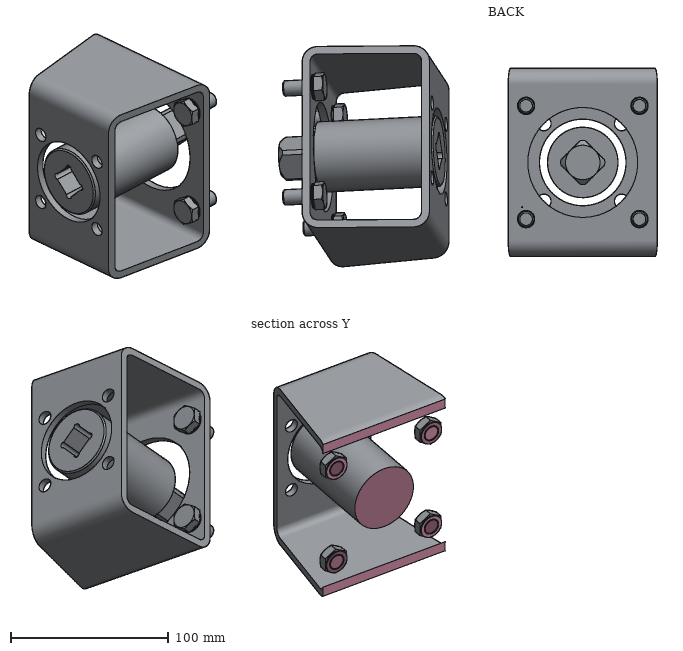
import cadquery as cq
import math


bracket_height = 120.0
bracket_depth = 80.0
narrow_width = 70.0
wide_width = 95.0
wall = 5.0
bend_radius = 10.1
narrow_bore_diameter = 55.0
wide_bore_diameter = 70.0
small_hole_diameter = 9.0
small_hole_circle = 70.0
bolt_hole_diameter = 11.0
bolt_circle = 102.0
inner_wall_y = bracket_depth - wall

spindle_diameter = 45.0
spindle_chamfer = 1.0
total_depth = 102.0
drive_size = 22.0
drive_corner_diameter = 28.1
drive_length = 25.0
shoulder_y = total_depth - drive_length
socket_size = 17.0
socket_depth = 24.0
relief_radius = 2.0
relief_offset = 10.1

bolt_diameter = 10.0
shank_length = 19.5
tip_chamfer = 1.0
head_size = 16.0
head_height = 6.2
head_face_diameter = 15.7
head_chamfer_angle = 30
hexagon_half_angle = 30
collar_diameter = 14.6
collar_height = 1.0
washer_diameter = 16.0
washer_bore_diameter = 10.5
washer_thickness = 0.5
collar_y = inner_wall_y - washer_thickness
head_y = collar_y - collar_height


def cylinder_y(diameter, start_y, end_y):
    """Cylinder on the Y axis between two Y positions."""
    disc = cq.Workplane("XZ", origin=(0, start_y, 0)).circle(diameter / 2)
    return disc.extrude(start_y - end_y)


def square_y(size, start_y, end_y):
    """Square bar on the Y axis with its corners pointing along X and Z."""
    square = cq.Workplane("XZ", origin=(0, start_y, 0)).rect(size, size)
    bar = square.extrude(start_y - end_y)
    return bar.rotate((0, 0, 0), (0, 1, 0), 45)


def diagonal_places(circle_diameter):
    """X and Z of four places at 45 degrees on a circle around the Y axis."""
    reach = circle_diameter / 2 * math.cos(math.radians(45))
    return [(sx * reach, sz * reach) for sx in (-1, 1) for sz in (-1, 1)]


def make_bracket():
    """Tube with bent corners, cut to the taper and drilled on both flange walls."""

    def rounded_bar(inset):
        bar = cq.Workplane("XY").box(
            wide_width, bracket_depth - 2 * inset, bracket_height - 2 * inset
        )
        bar = bar.edges("|X").fillet(bend_radius - inset)
        return bar.translate((0, bracket_depth / 2, 0))

    tube = rounded_bar(0).cut(rounded_bar(wall))
    taper = (
        cq.Workplane("XY", origin=(0, 0, -bracket_height / 2))
        .moveTo(-narrow_width / 2, 0)
        .lineTo(narrow_width / 2, 0)
        .lineTo(wide_width / 2, bracket_depth)
        .lineTo(-wide_width / 2, bracket_depth)
        .close()
        .extrude(bracket_height)
    )
    bracket = tube.intersect(taper)

    bracket = bracket.cut(cylinder_y(narrow_bore_diameter, 0, wall))
    bracket = bracket.cut(cylinder_y(wide_bore_diameter, inner_wall_y, bracket_depth))
    small_hole = cylinder_y(small_hole_diameter, 0, wall)
    for x, z in diagonal_places(small_hole_circle):
        bracket = bracket.cut(small_hole.translate((x, 0, z)))
    bolt_hole = cylinder_y(bolt_hole_diameter, inner_wall_y, bracket_depth)
    for x, z in diagonal_places(bolt_circle):
        bracket = bracket.cut(bolt_hole.translate((x, 0, z)))
    return bracket


def make_drive():
    """Square drive with rounded corners and a 45 degree conical tip."""
    corner_radius = drive_corner_diameter / 2
    tip_radius = drive_size / 2
    envelope = cylinder_y(drive_corner_diameter, shoulder_y, total_depth)
    envelope = envelope.faces(">Y").chamfer(corner_radius - tip_radius)
    return square_y(drive_size, shoulder_y, total_depth).intersect(envelope)


def make_socket():
    """Square socket space with a round relief in each corner."""
    socket = square_y(socket_size, 0, socket_depth)
    relief = cylinder_y(2 * relief_radius, 0, socket_depth).translate((relief_offset, 0, 0))
    for corner in range(4):
        socket = socket.union(relief.rotate((0, 0, 0), (0, 1, 0), 90 * corner))
    return socket


def make_spindle():
    """Round spindle with the socket in front and the drive behind its shoulder."""
    body = cylinder_y(spindle_diameter, 0, shoulder_y)
    body = body.faces("<Y").chamfer(spindle_chamfer)
    return body.union(make_drive()).cut(make_socket())


def make_head():
    """Hexagon head with flats facing X, its outer end chamfered by a cone."""
    corner_diameter = head_size / math.cos(math.radians(hexagon_half_angle))
    corner_overhang = (corner_diameter - head_face_diameter) / 2
    corner_drop = corner_overhang * math.tan(math.radians(head_chamfer_angle))
    hexagon = (
        cq.Workplane("XZ", origin=(0, head_y, 0))
        .polygon(6, corner_diameter)
        .extrude(head_height)
        .rotate((0, 0, 0), (0, 1, 0), hexagon_half_angle)
    )
    envelope = cylinder_y(corner_diameter, head_y, head_y - head_height)
    envelope = envelope.faces("<Y").chamfer(corner_drop, corner_overhang)
    return hexagon.intersect(envelope)


def make_bolt():
    """Bolt pointing to +Y, with a round collar under its hexagon head."""
    shank = cylinder_y(bolt_diameter, collar_y, collar_y + shank_length)
    shank = shank.faces(">Y").chamfer(tip_chamfer)
    collar = cylinder_y(collar_diameter, head_y, collar_y)
    return make_head().union(collar).union(shank)


def make_washer():
    """Flat washer against the inner face of the wide wall."""
    washer = cylinder_y(washer_diameter, collar_y, inner_wall_y)
    return washer.cut(cylinder_y(washer_bore_diameter, collar_y, inner_wall_y))


bracket = make_bracket()
spindle = make_spindle()
bolts = []
washers = []
for x, z in diagonal_places(bolt_circle):
    bolts.append(make_bolt().translate((x, 0, z)).val())
    washers.append(make_washer().translate((x, 0, z)).val())

result = cq.Compound.makeCompound([bracket.val(), spindle.val(), *bolts, *washers])